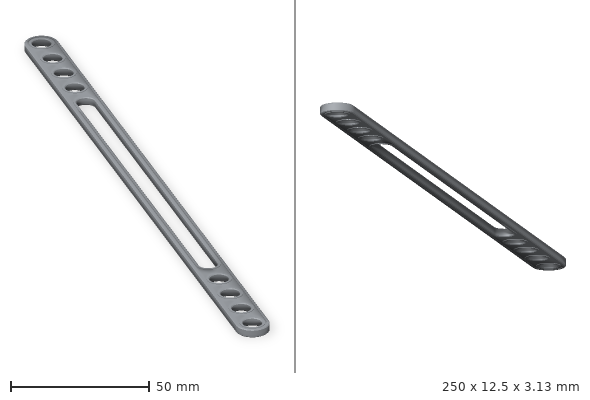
import cadquery as cq

length = 250.0
width = 12.5
thickness = width / 4
edge_chamfer = 0.3

hole_diameter = 7.0
hole_pitch = 12.5
holes_per_end = 4

wall_width = 1.12
recess_depth = 0.2

ring_diameter = hole_diameter + 2 * wall_width
end_center = (length - width) / 2
slot_center = end_center - holes_per_end * hole_pitch
hole_offsets = [end_center - i * hole_pitch for i in range(holes_per_end)]
hole_points = [(side * x, 0) for side in (-1, 1) for x in hole_offsets]


def rounded_bar(center_distance, bar_width, height):
    """Round-ended bar, given the distance between the centres of its two end arcs."""
    outline = cq.Workplane("XY").slot2D(center_distance + bar_width, bar_width)
    return outline.extrude(height / 2, both=True)


def openings(diameter, height):
    """Cylinders at the holes and a round-ended bar at the slot, all of one width."""
    cylinders = cq.Workplane("XY").pushPoints(hole_points).circle(diameter / 2).extrude(height / 2, both=True)
    return cylinders.union(rounded_bar(2 * slot_center, diameter, height))


def pierced_bar():
    """Bar with its holes and slot, bevelled along every edge of both faces."""
    bar = rounded_bar(2 * end_center, width, thickness)
    pierced = bar.cut(openings(hole_diameter, thickness))
    return pierced.faces("<Z or >Z").edges().chamfer(edge_chamfer)


def face_recesses():
    """Volume removed from both faces between the outer wall and the rings."""
    inner_width = width - 2 * wall_width
    area = rounded_bar(2 * end_center, inner_width, thickness)
    core = rounded_bar(2 * end_center, width, thickness - 2 * recess_depth)
    return area.cut(openings(ring_diameter, thickness)).cut(core)


result = pierced_bar().cut(face_recesses())